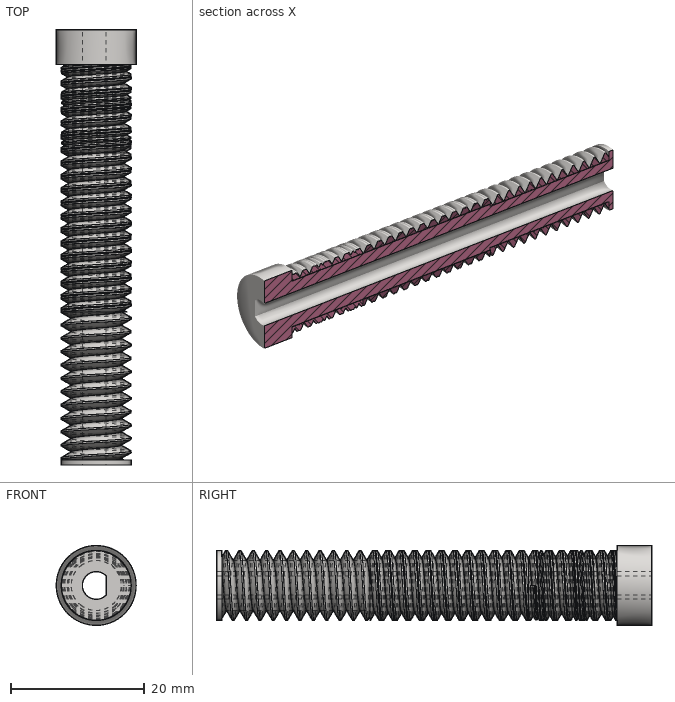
import cadquery as cq
import math


screw_length = 65.25
head_diameter = 12.0
head_length = 5.2
shank_length = screw_length - head_length
thread_diameter = 10.5
collar_length = 0.8

bore_diameter = 4.1
bore_flat_offset = 1.5

coarse_turns = 30
coarse_pitch = shank_length / coarse_turns
front_core_diameter = 7.5
rear_core_diameter = 8.3
crest_ratio = 1 / 8
flank_slope = math.tan(math.radians(30))
twin_offset = 0.425
twin_start = 23.0

fine_pitch = 0.75 * coarse_pitch
fine_crest_diameter = 10.45
fine_core_diameter = 8.35
crossed_start = 46.8


def cylinder(diameter, start, end):
    return cq.Workplane("XY", origin=(0, 0, start)).circle(diameter / 2).extrude(end - start)


def along_y(body):
    """The body's solid, turned from Z to Y."""
    return body.solids().val().rotate(cq.Vector(0, 0, 0), cq.Vector(1, 0, 0), -90)


def ridge_profile(pitch, core_diameter, crest_diameter):
    """(radius, height) corners of a plain ridge centred at height 0."""
    core_radius = core_diameter / 2
    crest_radius = crest_diameter / 2
    half_crest = crest_ratio * pitch / 2
    half_root = half_crest + (crest_radius - core_radius) * flank_slope
    return [
        (core_radius, -half_root),
        (crest_radius, -half_crest),
        (crest_radius, half_crest),
        (core_radius, half_root),
    ]


def twin_profile(pitch, core_diameter, crest_diameter):
    """Two plain ridges twin_offset apart, merged below the shallow V notch between their crests."""
    plain = ridge_profile(pitch, core_diameter, crest_diameter)
    lower = plain[:3]
    upper = [(radius, height + twin_offset) for radius, height in plain[1:]]
    notch_width = twin_offset - crest_ratio * pitch
    notch_depth = notch_width / 2 / flank_slope
    notch_bottom = (crest_diameter / 2 - notch_depth, twin_offset / 2)
    return lower + [notch_bottom] + upper


def helical_ridge(profile, pitch, start, turns):
    """Right-handed ridge that begins on the +X side with its profile at height start."""
    corner_paths = [
        cq.Wire.makeHelix(pitch, pitch * turns, radius, center=cq.Vector(0, 0, start + height))
        for radius, height in profile
    ]
    next_paths = corner_paths[1:] + corner_paths[:1]
    faces = [cq.Face.makeRuledSurface(path, other) for path, other in zip(corner_paths, next_paths)]
    for end in (start, start + pitch * turns):
        corners = [cq.Vector(radius, 0, end + height) for radius, height in profile]
        faces.append(cq.Face.makeFromWires(cq.Wire.makePolygon(corners, close=True)))
    return cq.Workplane(cq.Solid.makeSolid(cq.Shell.makeShell(faces)).fix())


def trimmed(ridge, start, end):
    return ridge.intersect(cylinder(head_diameter, start, end))


def coarse_ridge(profile, start, end):
    """Coarse ridge in step with the whole shank, with whole turns that reach past start and end."""
    first_turn = math.floor(start / coarse_pitch) - 1
    last_turn = math.ceil(end / coarse_pitch) + 1
    return helical_ridge(profile, coarse_pitch, first_turn * coarse_pitch, last_turn - first_turn)


def twin_ridge(start, end):
    return coarse_ridge(twin_profile(coarse_pitch, rear_core_diameter, thread_diameter), start, end)


def make_screw_core():
    core = cylinder(thread_diameter, 0, collar_length)
    core = core.union(cylinder(front_core_diameter, collar_length, twin_start))
    core = core.union(cylinder(rear_core_diameter, twin_start, shank_length))
    core = core.union(cylinder(head_diameter, shank_length, screw_length))
    bore = cylinder(bore_diameter, 0, screw_length)
    beyond_flat = (
        cq.Workplane("XY", origin=(bore_flat_offset, 0, 0))
        .box(bore_diameter, bore_diameter, screw_length, centered=(False, True, False))
    )
    bore = bore.cut(beyond_flat)
    return core.cut(bore)


def make_single_thread():
    profile = ridge_profile(coarse_pitch, front_core_diameter, thread_diameter)
    return trimmed(coarse_ridge(profile, collar_length, twin_start), collar_length, twin_start)


def make_twin_thread():
    return trimmed(twin_ridge(twin_start, crossed_start), twin_start, crossed_start)


def make_crossed_thread():
    """Twin coarse ridge and fine ridge joined as one body."""
    coarse = twin_ridge(crossed_start, shank_length)
    fine_profile = ridge_profile(fine_pitch, fine_core_diameter, fine_crest_diameter)
    fine_start = crossed_start + fine_pitch / 2
    fine_turns = math.ceil((shank_length - fine_start) / fine_pitch)
    fine = helical_ridge(fine_profile, fine_pitch, fine_start, fine_turns)
    return trimmed(coarse.union(fine, clean=False), crossed_start, shank_length)


screw_core = along_y(make_screw_core())
single_thread = along_y(make_single_thread())
twin_thread = along_y(make_twin_thread())
crossed_thread = along_y(make_crossed_thread())

result = cq.Compound.makeCompound([screw_core, single_thread, twin_thread, crossed_thread])